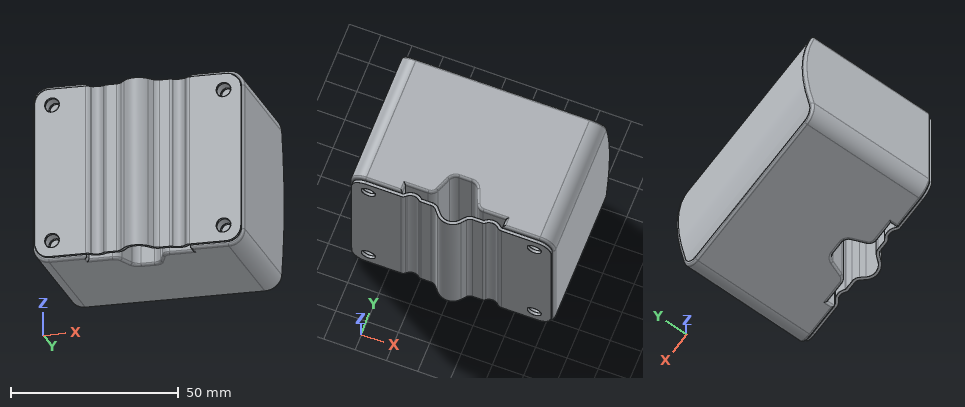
import cadquery as cq
import math

WIDTH = 65.4
HEIGHT = 55.4
DEPTH = 51.0
HOUSING_CORNER = 5.0
DOME_RADIUS = 98.1
EDGE_ROUND = 0.8

SHEET = 1.0
FLAT_FRONT = 3.5
HOUSING_FRONT = FLAT_FRONT + SHEET

PANEL_MARGIN = 1.3
PANEL_THICKNESS = 1.0

NOTCH_HALF_WIDTH = 16.0
NOTCH_BACK = 7.2
GROOVE_BACK = 15.2
GROOVE_HALF_MOUTH = 6.9
GROOVE_HALF_BACK = 3.8
GROOVE_MOUTH_RADIUS = 2.75
GROOVE_BACK_RADIUS = 2.55
EDGE_SEARCH = 0.05

PLATE_WIDTH = 63.7
PLATE_HEIGHT = 53.0
PLATE_CORNER = 4.45

LEDGE_RISE = 0.4
BUMP_X = 12.55
BUMP_RISE = 1.45
BUMP_ANGLE = 40.0
BUMP_RADIUS = 3.35
BUMP_OUTER_BEND = 1.5
BUMP_INNER_BEND = 0.8
CHANNEL_ANGLE = 49.5
CHANNEL_RADIUS = 4.45
CHANNEL_BEND = 2.55

SCREW_X = 26.5
SCREW_Z = 21.45
SCREW_DIAMETER = 3.65
SCREW_LENGTH = 6.55
CLEARANCE_DIAMETER = 4.45
CLEARANCE_DEPTH = 3.9
SCREW_FRONT = HOUSING_FRONT + CLEARANCE_DEPTH
SCREW_BACK = SCREW_FRONT + SCREW_LENGTH

SCREW_POINTS = [(sx * SCREW_X, sz * SCREW_Z) for sx in (-1, 1) for sz in (-1, 1)]


def front_plane(y):
    """Sketch plane at depth y whose local axes are X and Z and whose normal is -Y."""
    return cq.Workplane("XZ", origin=(0, y, 0))


def rounded_block(width, height, corner, y_front, y_back):
    return (
        front_plane(y_back)
        .rect(width, height)
        .extrude(y_back - y_front)
        .edges("|Y")
        .fillet(corner)
    )


def corner_cylinders(diameter, y_front, y_back):
    """One cylinder along Y at each of the four screw positions."""
    return front_plane(y_back).pushPoints(SCREW_POINTS).circle(diameter / 2).extrude(y_back - y_front)


def dome_cylinder(radius):
    """Cylinder along X; the one of DOME_RADIUS carries the outer surface of the back."""
    return cq.Workplane("YZ").center(DEPTH - DOME_RADIUS, 0).circle(radius).extrude(WIDTH / 2, both=True)


def mirrored_edges(half_x, y):
    """Selects the upright edges that pass through (half_x, y) and (-half_x, y)."""
    boxes = []
    for x in (half_x, -half_x):
        low = (x - EDGE_SEARCH, y - EDGE_SEARCH, -HEIGHT)
        high = (x + EDGE_SEARCH, y + EDGE_SEARCH, HEIGHT)
        boxes.append(cq.selectors.BoxSelector(low, high))
    return boxes[0] + boxes[1]


def make_notch():
    """Full-height notch with the tapered cable groove behind it."""
    right = [
        (GROOVE_HALF_BACK, GROOVE_BACK),
        (GROOVE_HALF_MOUTH, NOTCH_BACK),
        (NOTCH_HALF_WIDTH, NOTCH_BACK),
        (NOTCH_HALF_WIDTH, 0),
    ]
    left = [(-x, y) for x, y in reversed(right)]
    notch = cq.Workplane("XY").polyline(right + left).close().extrude(HEIGHT / 2, both=True)
    notch = notch.edges(mirrored_edges(GROOVE_HALF_BACK, GROOVE_BACK)).fillet(GROOVE_BACK_RADIUS)
    return notch.edges(mirrored_edges(GROOVE_HALF_MOUTH, NOTCH_BACK)).fillet(GROOVE_MOUTH_RADIUS)


def make_panel():
    panel = rounded_block(
        WIDTH - 2 * PANEL_MARGIN,
        HEIGHT - 2 * PANEL_MARGIN,
        HOUSING_CORNER - PANEL_MARGIN,
        HOUSING_FRONT,
        DEPTH,
    )
    return panel.intersect(dome_cylinder(DOME_RADIUS)).cut(dome_cylinder(DOME_RADIUS - PANEL_THICKNESS))


def front_rims():
    """Selects the rim of the housing front and the top and bottom rims of the notch."""
    low = (-WIDTH, HOUSING_FRONT - EDGE_SEARCH, -HEIGHT)
    front_edges = cq.selectors.BoxSelector(low, (WIDTH, HOUSING_FRONT + EDGE_SEARCH, HEIGHT))
    reach = NOTCH_HALF_WIDTH + EDGE_SEARCH
    notch_edges = cq.selectors.BoxSelector((-reach, 0, -HEIGHT), (reach, GROOVE_BACK + EDGE_SEARCH, HEIGHT))
    upright_edges = cq.selectors.ParallelDirSelector(cq.Vector(0, 0, 1))
    return front_edges + notch_edges - cq.selectors.AndSelector(notch_edges, upright_edges)


def make_housing(panel, screws):
    housing = rounded_block(WIDTH, HEIGHT, HOUSING_CORNER, HOUSING_FRONT, DEPTH)
    housing = housing.intersect(dome_cylinder(DOME_RADIUS))
    back_face = cq.selectors.NearestToPointSelector((0, DEPTH, 0))
    housing = housing.faces(back_face).edges().fillet(EDGE_ROUND)
    housing = housing.cut(make_notch())
    housing = housing.edges(front_rims()).fillet(EDGE_ROUND)
    clearance = corner_cylinders(CLEARANCE_DIAMETER, HOUSING_FRONT, SCREW_FRONT)
    return housing.cut(clearance).cut(screws).cut(panel)


def offset_path(vertices, radii, offset):
    """Rounded corners of a polyline shifted sideways: (start, middle, end) of each corner arc."""
    arcs = []
    for before, corner, after, radius in zip(vertices, vertices[1:], vertices[2:], radii):
        heading_in = math.atan2(corner[1] - before[1], corner[0] - before[0])
        heading_out = math.atan2(after[1] - corner[1], after[0] - corner[0])
        turn = heading_out - heading_in
        side = math.copysign(1, turn)
        tangent = radius * math.tan(abs(turn) / 2)
        centre_x = corner[0] - tangent * math.cos(heading_in) - side * radius * math.sin(heading_in)
        centre_y = corner[1] - tangent * math.sin(heading_in) + side * radius * math.cos(heading_in)
        reach = side * radius - offset
        arcs.append([
            (centre_x + reach * math.sin(h), centre_y - reach * math.cos(h))
            for h in (heading_in, heading_in + turn / 2, heading_out)
        ])
    return arcs


def sheet_bends():
    """Bend arcs of the front and of the back surface of the plate, from -X to +X."""
    bump_slope = math.tan(math.radians(BUMP_ANGLE))
    channel_slope = math.tan(math.radians(CHANNEL_ANGLE))
    flat_y = FLAT_FRONT + SHEET / 2
    ledge_y = flat_y + LEDGE_RISE
    bump_y = flat_y + BUMP_RISE + BUMP_RADIUS * (1 / math.cos(math.radians(BUMP_ANGLE)) - 1)
    channel_y = SHEET / 2 - CHANNEL_RADIUS * (1 / math.cos(math.radians(CHANNEL_ANGLE)) - 1)
    right = [
        ((ledge_y - channel_y) / channel_slope, ledge_y),
        (BUMP_X - (bump_y - ledge_y) / bump_slope, ledge_y),
        (BUMP_X, bump_y),
        (BUMP_X + (bump_y - flat_y) / bump_slope, flat_y),
        (PLATE_WIDTH / 2, flat_y),
    ]
    right_radii = [CHANNEL_BEND, BUMP_INNER_BEND, BUMP_RADIUS, BUMP_OUTER_BEND]
    left = [(-x, y) for x, y in reversed(right)]
    vertices = left + [(0, channel_y)] + right
    radii = right_radii[::-1] + [CHANNEL_RADIUS] + right_radii
    return offset_path(vertices, radii, -SHEET / 2), offset_path(vertices, radii, SHEET / 2)


def sheet_section(front_bends, back_bends):
    half = PLATE_WIDTH / 2
    section = cq.Workplane("XY").moveTo(-half, FLAT_FRONT)
    for start, middle, end in front_bends:
        section = section.lineTo(*start).threePointArc(middle, end)
    section = section.lineTo(half, FLAT_FRONT).lineTo(half, HOUSING_FRONT)
    for start, middle, end in reversed(back_bends):
        section = section.lineTo(*end).threePointArc(middle, start)
    return section.lineTo(-half, HOUSING_FRONT).close()


def make_plate():
    front_bends, back_bends = sheet_bends()
    plate = sheet_section(front_bends, back_bends).extrude(PLATE_HEIGHT / 2, both=True)
    plate = plate.intersect(rounded_block(PLATE_WIDTH, PLATE_HEIGHT, PLATE_CORNER, 0, DEPTH))
    return plate.cut(corner_cylinders(CLEARANCE_DIAMETER, FLAT_FRONT, HOUSING_FRONT))


panel = make_panel()
screws = corner_cylinders(SCREW_DIAMETER, SCREW_FRONT, SCREW_BACK)
housing = make_housing(panel, screws)
plate = make_plate()
result = cq.Compound.makeCompound([
    *housing.vals(),
    *plate.vals(),
    *panel.vals(),
    *screws.vals(),
])